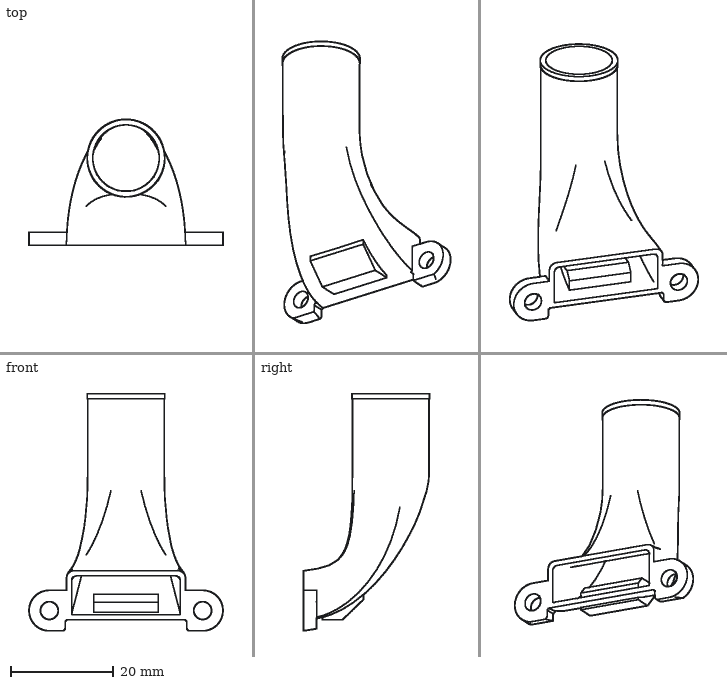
import cadquery as cq
import math

TOTAL_HEIGHT = 46.45
WALL = 1.0
PIPE_RADIUS = 7.53
RIM_RADIUS = 7.6
RIM_HEIGHT = 1.0
PIPE_AXIS_Y = 17.1
PIPE_BOTTOM_Z = 30.55

MOUTH_HALF_WIDTH = 11.65
MOUTH_BOTTOM_Z = 2.2
MOUTH_TOP_Z = 11.8
MOUTH_TOP_RADIUS = 1.5
MOUTH_BOTTOM_RADIUS = 0.25
MOUTH_INNER_TOP_RADIUS = 1.0

UPPER_PIPE_HANDLE = 16.25
UPPER_MOUTH_HANDLE = 8.35
LOWER_PIPE_HANDLE = 6.95
LOWER_MOUTH_HANDLE = 14.4
UPPER_MOUTH_SLOPE = 0.12
ELBOW_STEPS = 8
BLEND_DELAY = 1.2
BLEND_LEAD = 0.6
FLAT_ANGLE = 19.0

EAR_RADIUS = 4.0
EAR_HOLE_RADIUS = 1.7
EAR_SPACING = 30.0
EAR_THICKNESS = 2.6
EAR_INNER_X = 11.85
EAR_CORNER_RADIUS = 0.65
EAR_NECK_DROP = 0.33
EAR_BOTTOM_RISE = 0.4

BLOCK_HALF_WIDTH = 6.3
BLOCK_FRONT_Y = 3.7
BLOCK_BACK_Y = 11.8
BLOCK_FLOOR_END_Y = 7.65
BLOCK_FRONT_Z = 5.65
BLOCK_TOP_Z = 7.2
BLOCK_BACK_Z = 6.2


def bezier(points, t):
    """Point at t on the cubic curve with the given four (y, z) control points."""
    weights = ((1 - t) ** 3, 3 * t * (1 - t) ** 2, 3 * t**2 * (1 - t), t**3)
    return tuple(sum(w * p[axis] for w, p in zip(weights, points)) for axis in (0, 1))


def circle_outline(radius):
    """Sixteen points: start and middle of four flats and four corners in turn."""
    angles = []
    for quarter in range(4):
        flat_centre = 90.0 * quarter
        angles += [flat_centre - FLAT_ANGLE, flat_centre, flat_centre + FLAT_ANGLE, flat_centre + 45]
    return [(radius * math.cos(math.radians(a)), radius * math.sin(math.radians(a))) for a in angles]


def mouth_outline(half_width, half_height, top_radius, bottom_radius):
    """The same sixteen points on a rounded rectangle."""
    points = []
    corners = ((1, 1, top_radius), (-1, 1, top_radius), (-1, -1, bottom_radius), (1, -1, bottom_radius))
    for index, (side_x, side_v, radius) in enumerate(corners):
        centre = (side_x * (half_width - radius), side_v * (half_height - radius))
        arc = []
        for angle in (0, 45, 90):
            turn = math.radians(90 * index + angle)
            arc.append((centre[0] + radius * math.cos(turn), centre[1] + radius * math.sin(turn)))
        points.append(arc)
    outline = []
    for index, arc in enumerate(points):
        flat_start = points[index - 1][2]
        flat_middle = ((flat_start[0] + arc[0][0]) / 2, (flat_start[1] + arc[0][1]) / 2)
        outline += [flat_start, flat_middle, arc[0], arc[1]]
    return outline


def section(t, inset, top_radius, bottom_radius):
    """Closed elbow section at t, from the pipe (0) to the mouth (1)."""
    radius = PIPE_RADIUS - inset
    mouth_top = MOUTH_TOP_Z - inset
    mouth_bottom = MOUTH_BOTTOM_Z + inset
    half_height = (mouth_top - mouth_bottom) / 2
    upper_y = PIPE_AXIS_Y - radius
    lower_y = PIPE_AXIS_Y + radius
    upper = bezier(
        [
            (upper_y, PIPE_BOTTOM_Z),
            (upper_y, PIPE_BOTTOM_Z - UPPER_PIPE_HANDLE),
            (UPPER_MOUTH_HANDLE, mouth_top + UPPER_MOUTH_SLOPE * UPPER_MOUTH_HANDLE),
            (0, mouth_top),
        ],
        t,
    )
    lower = bezier(
        [
            (lower_y, PIPE_BOTTOM_Z),
            (lower_y, PIPE_BOTTOM_Z - LOWER_PIPE_HANDLE),
            (LOWER_MOUTH_HANDLE, mouth_bottom),
            (0, mouth_bottom),
        ],
        t,
    )
    smooth_step = t * t * (3 - 2 * t)
    circle = circle_outline(radius)
    mouth = mouth_outline(MOUTH_HALF_WIDTH - inset, half_height, top_radius, bottom_radius)
    points = []
    for (circle_x, circle_v), (mouth_x, mouth_v) in zip(circle, mouth):
        blend = smooth_step ** (BLEND_DELAY - BLEND_LEAD * circle_v / radius)
        x = circle_x + blend * (mouth_x - circle_x)
        height = (1 - blend) * circle_v / radius + blend * mouth_v / half_height
        share = (1 + height) / 2
        y, z = (low + share * (high - low) for low, high in zip(lower, upper))
        points.append(cq.Vector(x, y, z))
    edges = []
    for start in range(0, len(points), 2):
        end = points[(start + 2) % len(points)]
        is_straight = t == 1 and start % 4 == 0
        if is_straight:
            edges.append(cq.Edge.makeLine(points[start], end))
        else:
            edges.append(cq.Edge.makeThreePointArc(points[start], points[start + 1], end))
    return cq.Wire.assembleEdges(edges)


def elbow(inset, top_radius, bottom_radius):
    wires = [section(step / ELBOW_STEPS, inset, top_radius, bottom_radius) for step in range(ELBOW_STEPS + 1)]
    return cq.Workplane(cq.Solid.makeLoft(wires))


def upright_cylinder(radius, bottom, top):
    return cq.Workplane("XY", origin=(0, PIPE_AXIS_Y, bottom)).circle(radius).extrude(top - bottom)


def ear(side):
    """One rounded mounting ear with a through hole; side is -1 or 1."""
    centre_x = side * EAR_SPACING / 2
    inner_x = side * EAR_INNER_X
    wall_x = side * (MOUTH_HALF_WIDTH - WALL / 2)
    front = cq.Workplane("XZ")
    plate = (
        front.moveTo(wall_x, 2 * EAR_RADIUS)
        .lineTo(centre_x, 2 * EAR_RADIUS)
        .threePointArc((centre_x + side * EAR_RADIUS, EAR_RADIUS), (centre_x, 0))
        .lineTo(inner_x, 0)
        .lineTo(inner_x, MOUTH_BOTTOM_Z - EAR_NECK_DROP)
        .lineTo(wall_x, MOUTH_BOTTOM_Z - EAR_NECK_DROP + EAR_INNER_X - abs(wall_x))
        .close()
        .extrude(-EAR_THICKNESS)
    )
    lower_corner = cq.selectors.NearestToPointSelector((inner_x, EAR_THICKNESS / 2, 0))
    plate = plate.edges("|Y").edges(lower_corner).fillet(EAR_CORNER_RADIUS)
    under_cut = (
        cq.Workplane("YZ")
        .polyline([(0, 0), (EAR_THICKNESS, EAR_BOTTOM_RISE), (EAR_THICKNESS, 0)])
        .close()
        .extrude(EAR_SPACING, both=True)
    )
    hole = front.center(centre_x, EAR_RADIUS).circle(EAR_HOLE_RADIUS).extrude(-EAR_THICKNESS)
    return plate.cut(under_cut).cut(hole)


def wall_block():
    chamfer = BLOCK_TOP_Z - BLOCK_FRONT_Z
    profile = [
        (BLOCK_FRONT_Y, MOUTH_BOTTOM_Z),
        (BLOCK_FRONT_Y, BLOCK_FRONT_Z),
        (BLOCK_FRONT_Y + chamfer, BLOCK_TOP_Z),
        (BLOCK_BACK_Y, BLOCK_TOP_Z),
        (BLOCK_BACK_Y, BLOCK_BACK_Z),
        (BLOCK_FLOOR_END_Y, MOUTH_BOTTOM_Z),
    ]
    return cq.Workplane("YZ").polyline(profile).close().extrude(BLOCK_HALF_WIDTH, both=True)


outside = elbow(0, MOUTH_TOP_RADIUS, MOUTH_BOTTOM_RADIUS)
outside = outside.union(upright_cylinder(PIPE_RADIUS, PIPE_BOTTOM_Z, TOTAL_HEIGHT))
outside = outside.union(upright_cylinder(RIM_RADIUS, TOTAL_HEIGHT - RIM_HEIGHT, TOTAL_HEIGHT))
for side in (-1, 1):
    outside = outside.union(ear(side))

passage = elbow(WALL, MOUTH_INNER_TOP_RADIUS, MOUTH_BOTTOM_RADIUS)
passage = passage.union(upright_cylinder(PIPE_RADIUS - WALL, PIPE_BOTTOM_Z, TOTAL_HEIGHT))

result = outside.cut(passage).union(wall_block())